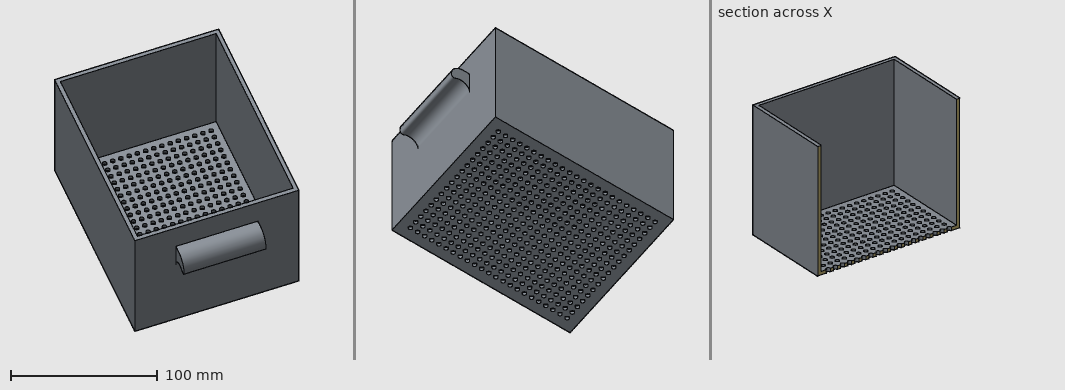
import cadquery as cq
import math

total_length = 180.0
box_length = 150.0
box_width = 120.0
box_height = 100.0

wall = 3.0
floor_thickness = wall
inner_length = box_length - 2 * wall
inner_width = box_width - 2 * wall

hole_diameter = 3.0
hole_columns = 23
hole_rows = 18
column_pitch = inner_length / (hole_columns + 1)
row_pitch = inner_width / (hole_rows + 1)

handle_width = 60.0
handle_top = 80.0
handle_reach = (total_length - box_length) / 2
outer_radius = 10.0
tip_radius = 2.0
grip_radius = handle_reach / 2
grip_center_height = 60.0


def make_box():
    """Open-topped box standing on Z = 0, centred on the Z axis."""
    outer = cq.Workplane("XY").box(box_length, box_width, box_height, centered=(True, True, False))
    cavity = (
        cq.Workplane("XY")
        .workplane(offset=floor_thickness)
        .rect(inner_length, inner_width)
        .extrude(box_height - floor_thickness)
    )
    return outer.cut(cavity)


def make_drain_holes():
    """Grid of pins that pierce the floor."""
    return (
        cq.Workplane("XY")
        .rarray(column_pitch, row_pitch, hole_columns, hole_rows)
        .circle(hole_diameter / 2)
        .extrude(floor_thickness)
    )


def point_on_circle(center, radius, angle):
    """Point at the given angle, in radians, on a circle."""
    return (center[0] + radius * math.cos(angle), center[1] + radius * math.sin(angle))


def make_handle():
    """Handle on the +X end: rounded top, rounded tip and a concave finger grip below."""
    wall_x = box_length / 2
    end_x = total_length / 2
    round_center = (end_x - outer_radius, handle_top - outer_radius)
    grip_center = (wall_x + grip_radius, grip_center_height)

    tip_x = end_x - tip_radius
    center_distance = grip_radius + tip_radius
    tangent_angle = math.acos((tip_x - grip_center[0]) / center_distance)
    tip_center = point_on_circle(grip_center, center_distance, tangent_angle)
    tangent_point = point_on_circle(grip_center, grip_radius, tangent_angle)
    tip_middle_angle = (tangent_angle - math.pi) / 2

    profile = (
        cq.Workplane("XZ")
        .moveTo(wall_x, grip_center_height)
        .lineTo(wall_x, handle_top)
        .lineTo(round_center[0], handle_top)
        .threePointArc(
            point_on_circle(round_center, outer_radius, math.pi / 4),
            (end_x, round_center[1]),
        )
        .lineTo(end_x, tip_center[1])
        .threePointArc(point_on_circle(tip_center, tip_radius, tip_middle_angle), tangent_point)
        .threePointArc(
            point_on_circle(grip_center, grip_radius, (tangent_angle + math.pi) / 2),
            (wall_x, grip_center_height),
        )
        .close()
    )
    return profile.extrude(handle_width / 2, both=True)


handle = make_handle()
result = (
    make_box()
    .cut(make_drain_holes())
    .union(handle)
    .union(handle.mirror("YZ"))
)